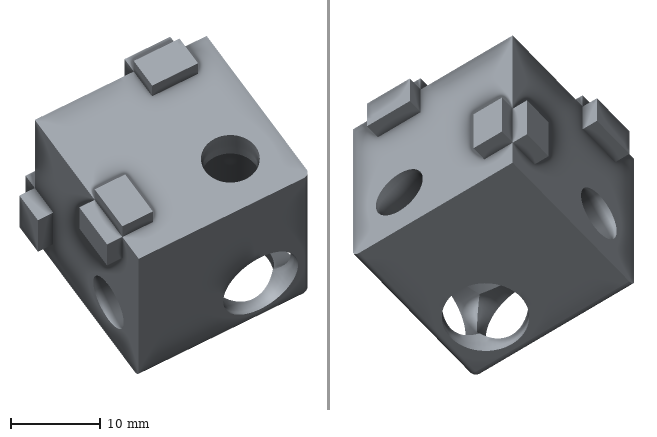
import cadquery as cq

overall_size = 24.5
pad_thickness = 2.0
pad_length = 6.0
pad_width = 4.0
hole_diameter = 6.6
hole_offset = 15.95
hole_depth = 3.5
counterbore_diameter = 9.8
edge_radius = 0.9

cube_size = overall_size - pad_thickness
pad_start = hole_offset - pad_length / 2

INWARD = (1, 1, -1)


def box_inward(spans):
    """Box from (start, end) spans along X, Y and Z, positive into the cube."""
    sizes = [end - start for start, end in spans]
    centre = [sign * (start + end) / 2 for sign, (start, end) in zip(INWARD, spans)]
    return cq.Workplane("XY").box(*sizes).translate(tuple(centre))


def rounded_cube():
    """Cube with the three edges at the corner opposite the key corner rounded."""
    cube = box_inward([(0, cube_size)] * 3)
    far_edges = "(>X and >Y) or (>X and <Z) or (>Y and <Z)"
    return cube.edges(far_edges).fillet(edge_radius)


def bore(axis, diameter, start_depth):
    """Cutter along an axis (0, 1 or 2), from a depth inside the key face to the far face."""
    start = [sign * hole_offset for sign in INWARD]
    start[axis] = INWARD[axis] * start_depth
    direction = [0, 0, 0]
    direction[axis] = INWARD[axis]
    length = cube_size - start_depth
    return cq.Workplane(
        cq.Solid.makeCylinder(diameter / 2, length, cq.Vector(*start), cq.Vector(*direction))
    )


def pad(face_axis, edge_axis):
    """Pad on the face normal to face_axis, lying against the edge along edge_axis."""
    spans = [(0, pad_width)] * 3
    spans[face_axis] = (-pad_thickness, 0)
    spans[edge_axis] = (pad_start, pad_start + pad_length)
    return box_inward(spans)


result = rounded_cube()

for axis in range(3):
    result = result.cut(bore(axis, hole_diameter, 0))
    result = result.cut(bore(axis, counterbore_diameter, hole_depth))

for face_axis in range(3):
    for edge_axis in range(3):
        if edge_axis != face_axis:
            result = result.union(pad(face_axis, edge_axis))